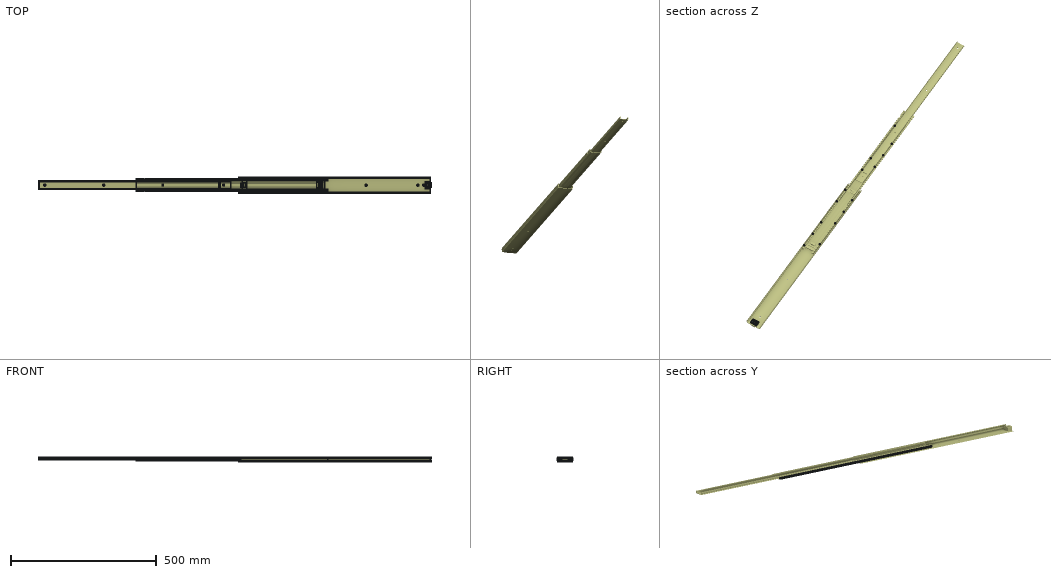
import cadquery as cq

total_length = 1346.16
outer_width = 54.79
height = 16.0
sheet = 1.5

rail_length = 658.0
inner_start = 0.0
middle_start = 334.0
outer_start = 686.0
inner_end = inner_start + rail_length
middle_end = middle_start + rail_length
outer_end = outer_start + rail_length

outer_half = outer_width / 2
outer_edge_half = 25.3
bead_bottom = 5.0
bead_top = 13.0

middle_bottom = 5.0
middle_top = 15.5
middle_floor_half = 17.8
middle_waist_half = 20.0
middle_waist_height = 10.0
middle_bulge = 0.8
middle_half = 21.5
middle_inside_half = 17.6
middle_corner_half = 14.5
middle_corner_rise = 1.5
middle_lip_half = 17.0
groove_depth = 0.8
groove_floor_half = 6.0
groove_edge_half = 9.5

inner_half = 15.0
inner_bottom = 7.4
inner_lip_half = 11.8
race_bottom = 8.4
race_top = 11.9
race_depth = 0.7

retainer_sheet = 0.8
outer_retainer_start = 692.0
outer_retainer_end = middle_end
outer_retainer_half = 23.0
outer_retainer_bottom = sheet
outer_retainer_top = 13.0
outer_retainer_web_end = 975.0
inner_retainer_start = 380.0
inner_retainer_end = 762.0
inner_retainer_half = 16.6
inner_retainer_bottom = middle_bottom + sheet + middle_corner_rise
inner_retainer_top = 13.5
inner_retainer_window_half = inner_retainer_half - retainer_sheet
bridge_start = 698.0
bridge_end = 713.0
bridge_slot_margin = 4.0
bridge_slot_half = 8.0

hole_diameter = 5.0
inner_hole_places = (20.0, 222.0, 425.0, 634.0)
outer_hole_places = (1123.0, 1301.0, 1321.0)

cross_slot_start = 617.5
cross_slot_end = 622.0
cross_slot_half = 8.0

end_notch_depth = 11.0
end_notch_half = 14.5
flange_notch_start = 360.0
flange_notch_end = 366.0

stop_start = 953.0
stop_end = 961.0
stop_half = 9.0
stop_side_height = 8.2
stop_crown_height = 9.4
pad_start = 965.0
pad_half = 15.0
pad_top = 8.2
pad_slot_start = 969.0
pad_slot_end = 974.0
pad_slot_half = 12.5

bumper_half = 8.0
bumper_start = 1329.0
bumper_foot_top = 6.0
bumper_hook_bottom = 13.5
bumper_base_start = 1327.0
bumper_base_half = 12.0
bumper_base_top = 15.0
bumper_slot_start = 1332.0
bumper_slot_end = 1339.0
bumper_slot_half = 4.0


def bar_from_half(half_section, start, end):
    """Mirror a half section across Y = 0 and run it from X = start to X = end."""
    half = half_section.extrude(end - start).translate((start, 0, 0))
    return half.union(half.mirror("XZ"))


def centred_box(start, end, half, bottom, top):
    """Box that is symmetric about Y = 0."""
    box = cq.Workplane("XY").box(end - start, 2 * half, top - bottom, centered=False)
    return box.translate((start, -half, bottom))


def holes_along(places):
    """Vertical cutters for a row of holes on the centre line."""
    points = [(x, 0) for x in places]
    return cq.Workplane("XY").pushPoints(points).circle(hole_diameter / 2).extrude(height)


def retainer_channel(half, bottom, top, start, end):
    """Thin channel with plain upright sides."""
    half_section = (
        cq.Workplane("YZ")
        .moveTo(0, bottom)
        .lineTo(half, bottom)
        .lineTo(half, top)
        .lineTo(half - retainer_sheet, top)
        .lineTo(half - retainer_sheet, bottom + retainer_sheet)
        .lineTo(0, bottom + retainer_sheet)
        .close()
    )
    return bar_from_half(half_section, start, end)


def make_bumper():
    base = centred_box(bumper_base_start, outer_end, bumper_base_half, 0, bumper_base_top)
    post = centred_box(bumper_start, outer_end, bumper_half, 0, height)
    foot = centred_box(bumper_start, total_length, bumper_half, 0, bumper_foot_top)
    hook = centred_box(bumper_start, total_length, bumper_half, bumper_hook_bottom, height)
    slot = centred_box(bumper_slot_start, bumper_slot_end, bumper_slot_half, sheet, height)
    return base.union(post).union(foot).union(hook).cut(slot)


def make_outer_rail():
    bead_middle = (bead_bottom + bead_top) / 2
    edge_inside = outer_edge_half - sheet
    half_section = (
        cq.Workplane("YZ")
        .lineTo(outer_edge_half, 0)
        .lineTo(outer_edge_half, bead_bottom)
        .threePointArc((outer_half, bead_middle), (outer_edge_half, bead_top))
        .lineTo(outer_edge_half, height)
        .lineTo(edge_inside, height)
        .lineTo(edge_inside, bead_top)
        .threePointArc((outer_half - sheet, bead_middle), (edge_inside, bead_bottom))
        .lineTo(edge_inside, sheet)
        .lineTo(0, sheet)
        .close()
    )
    rail = bar_from_half(half_section, outer_start, outer_end)
    return rail.cut(holes_along(outer_hole_places)).union(make_bumper())


def make_crowned_stop():
    section = (
        cq.Workplane("YZ")
        .moveTo(-stop_half, middle_bottom)
        .lineTo(stop_half, middle_bottom)
        .lineTo(stop_half, stop_side_height)
        .threePointArc((0, stop_crown_height), (-stop_half, stop_side_height))
        .close()
    )
    return section.extrude(stop_end - stop_start).translate((stop_start, 0, 0))


def make_middle_rail():
    groove_bottom = middle_bottom - groove_depth
    waist_inside = middle_waist_height + sheet
    bulge_point = (
        (middle_floor_half + middle_waist_half) / 2 + middle_bulge,
        (middle_bottom + middle_waist_height) / 2,
    )
    half_section = (
        cq.Workplane("YZ")
        .moveTo(0, groove_bottom)
        .lineTo(groove_floor_half, groove_bottom)
        .lineTo(groove_edge_half, middle_bottom)
        .lineTo(middle_floor_half, middle_bottom)
        .threePointArc(bulge_point, (middle_waist_half, middle_waist_height))
        .lineTo(middle_half, middle_waist_height)
        .lineTo(middle_half, middle_top)
        .lineTo(middle_lip_half, middle_top)
        .lineTo(middle_lip_half, middle_top - sheet)
        .lineTo(middle_half - sheet, middle_top - sheet)
        .lineTo(middle_half - sheet, waist_inside)
        .lineTo(middle_inside_half, waist_inside)
        .lineTo(middle_inside_half, middle_bottom + sheet + middle_corner_rise)
        .lineTo(middle_corner_half, middle_bottom + sheet)
        .lineTo(groove_edge_half, middle_bottom + sheet)
        .lineTo(groove_floor_half, groove_bottom + sheet)
        .lineTo(0, groove_bottom + sheet)
        .close()
    )
    rail = bar_from_half(half_section, middle_start, middle_end)
    notch_start = middle_end - end_notch_depth
    pad = centred_box(pad_start, notch_start, pad_half, middle_bottom, pad_top)
    pad_slot = centred_box(pad_slot_start, pad_slot_end, pad_slot_half, middle_bottom + sheet, height)
    end_notch = centred_box(notch_start, middle_end, end_notch_half, 0, height)
    flange_notch = centred_box(
        flange_notch_start, flange_notch_end, middle_half, middle_waist_height, height
    )
    rail = rail.cut(end_notch).cut(flange_notch)
    return rail.union(make_crowned_stop()).union(pad.cut(pad_slot))


def make_inner_rail():
    race_middle = (race_bottom + race_top) / 2
    half_section = (
        cq.Workplane("YZ")
        .moveTo(0, inner_bottom)
        .lineTo(inner_half, inner_bottom)
        .lineTo(inner_half, race_bottom)
        .threePointArc((inner_half - race_depth, race_middle), (inner_half, race_top))
        .lineTo(inner_half, height)
        .lineTo(inner_lip_half, height)
        .lineTo(inner_lip_half, height - sheet)
        .lineTo(inner_half - sheet, height - sheet)
        .lineTo(inner_half - sheet, inner_bottom + sheet)
        .lineTo(0, inner_bottom + sheet)
        .close()
    )
    rail = bar_from_half(half_section, inner_start, inner_end)
    cross_slot = centred_box(cross_slot_start, cross_slot_end, cross_slot_half, 0, height)
    return rail.cut(holes_along(inner_hole_places)).cut(cross_slot)


def make_outer_retainer():
    retainer = retainer_channel(
        outer_retainer_half,
        outer_retainer_bottom,
        outer_retainer_top,
        outer_retainer_start,
        outer_retainer_end,
    )
    web_opening = centred_box(
        outer_retainer_web_end,
        outer_retainer_end,
        outer_retainer_half - retainer_sheet,
        0,
        height,
    )
    return retainer.cut(web_opening)


def make_inner_retainer():
    """Two upright strips joined by one slotted bridge."""
    retainer = retainer_channel(
        inner_retainer_half,
        inner_retainer_bottom,
        inner_retainer_top,
        inner_retainer_start,
        inner_retainer_end,
    )
    openings = (
        (inner_retainer_start, bridge_start, inner_retainer_window_half),
        (bridge_end, inner_retainer_end, inner_retainer_window_half),
        (bridge_start + bridge_slot_margin, bridge_end - bridge_slot_margin, bridge_slot_half),
    )
    for start, end, half in openings:
        retainer = retainer.cut(centred_box(start, end, half, 0, height))
    return retainer


outer_rail = make_outer_rail()
middle_rail = make_middle_rail()
inner_rail = make_inner_rail()
outer_retainer = make_outer_retainer()
inner_retainer = make_inner_retainer()

result = cq.Compound.makeCompound(
    [
        *outer_rail.solids().vals(),
        *middle_rail.solids().vals(),
        *inner_rail.solids().vals(),
        *outer_retainer.solids().vals(),
        *inner_retainer.solids().vals(),
    ]
)